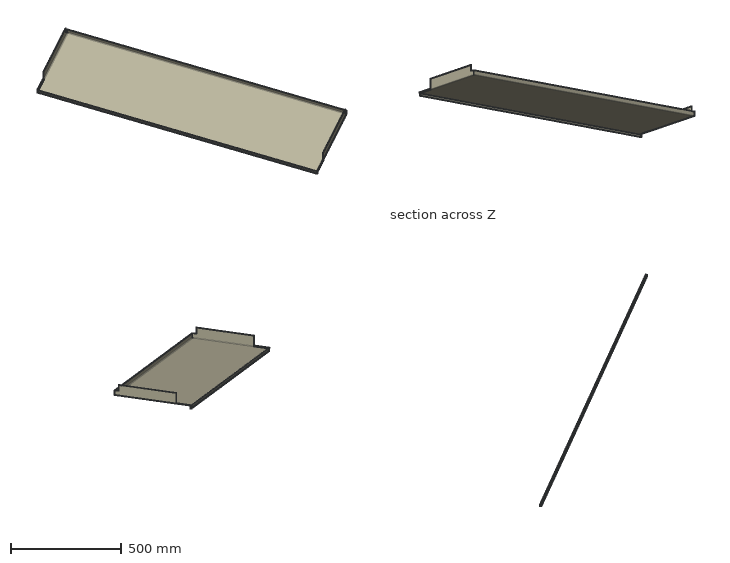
import cadquery as cq
import math

overall_width = 1369.8
overall_depth = 362.33
overall_height = 91.83

thickness = 1.0
bend_radius = 1.5
hook_radius = 2.0
tilt = 4.95

rear_lip_height = 21.0
flange_setback = 20.0
flange_length = 270.0
flap_reach = 5.0
flap_rise = 3.0
flange_inset = 2.0
hook_height = 12.0
hook_depth = 7.5
hook_return_height = 10.0

slope = math.tan(math.radians(tilt))
rear = overall_depth / 2
front = -overall_depth / 2
top = overall_height / 2
bottom = -overall_height / 2
flange_rear = rear - flange_setback
flange_front = flange_rear - flange_length
half_body = overall_width / 2 - flange_inset
half_panel = overall_width / 2 - flap_reach
sheet_drop = thickness / math.cos(math.radians(tilt))


def panel_underside(y):
    """Height of the tilted panel's lower face at depth y."""
    return bottom + hook_height + (y - front) * slope


def panel_top(y):
    """Height of the tilted panel's upper face at depth y."""
    return panel_underside(y) + sheet_drop


def flange_top(y):
    """Height of the side flanges' top edge, parallel to the panel."""
    return top - (flange_rear - y) * slope


def prism(outline, half_width):
    """Extrude a Y-Z outline symmetrically along X."""
    return cq.Workplane("YZ").polyline(outline).close().extrude(half_width, both=True)


def wedge(inset, edge_radius):
    """Block above the panel, drawn in from the outer faces by inset, with rounded lower edges."""
    lift = inset / thickness * sheet_drop
    back = rear - inset
    outline = [
        (flange_front, panel_underside(flange_front) + lift),
        (back, panel_underside(back) + lift),
        (back, top),
        (flange_front, top),
    ]
    block = prism(outline, half_body - inset)
    return block.faces("<Z").edges("not <Y").fillet(edge_radius)


def make_tray():
    """Panel with rear lip and side flanges, trimmed to the stepped side outline."""
    outer = wedge(0, bend_radius + thickness)
    inner = wedge(thickness, bend_radius)
    lip_top = panel_underside(rear) + rear_lip_height
    side_outline = [
        (flange_front, bottom),
        (rear, bottom),
        (rear, lip_top),
        (flange_rear, lip_top),
        (flange_rear, top),
        (flange_front, flange_top(flange_front)),
    ]
    return outer.cut(inner).intersect(prism(side_outline, overall_width))


def make_front_panel():
    """Flat panel between the flanges' front ends and the hook."""
    hook_rear = front + hook_depth / 2
    outline = [
        (hook_rear, panel_underside(hook_rear)),
        (flange_front, panel_underside(flange_front)),
        (flange_front, panel_top(flange_front)),
        (hook_rear, panel_top(hook_rear)),
    ]
    return prism(outline, half_panel)


def make_flap(side):
    """Short edge flap ahead of a flange, sloping up and outward; side is -1 or 1."""
    inner_x = side * half_panel
    outer_x = side * overall_width / 2
    base = panel_underside(flange_front)
    run = flange_front - front
    section = [
        (inner_x, base),
        (outer_x, base + flap_rise),
        (outer_x, base + flap_rise + sheet_drop),
        (inner_x, base + sheet_drop),
    ]
    path = cq.Workplane("YZ").moveTo(flange_front, base).lineTo(front, base - run * slope)
    return cq.Workplane("XZ", origin=(0, flange_front, 0)).polyline(section).close().sweep(path)


def make_hook():
    """Front edge folded down, under and back up, leaving a gap below the panel."""
    back = front + hook_depth
    outline = [
        (front, bottom),
        (back, bottom),
        (back, panel_top(back)),
        (front, panel_top(front)),
    ]
    rounded = "|X and (<Y or <Z)"
    outer = prism(outline, half_body).edges(rounded).fillet(hook_radius)
    inner_outline = [
        (front + thickness, bottom + thickness),
        (back - thickness, bottom + thickness),
        (back - thickness, panel_underside(back - thickness)),
        (front + thickness, panel_underside(front + thickness)),
    ]
    inner = prism(inner_outline, overall_width).edges(rounded).fillet(hook_radius - thickness)
    return_top = bottom + hook_return_height
    gap_front = back - hook_depth / 2
    gap_outline = [
        (gap_front, return_top),
        (back, return_top),
        (back, panel_underside(back)),
        (gap_front, panel_underside(gap_front)),
    ]
    return outer.cut(inner).cut(prism(gap_outline, overall_width))


result = make_tray().union(make_front_panel()).union(make_hook())
for flap_side in (-1, 1):
    result = result.union(make_flap(flap_side))